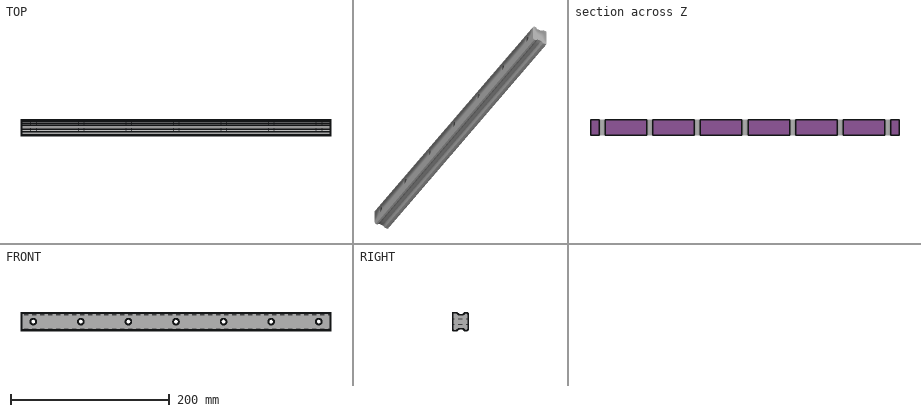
import cadquery as cq

rail_length = 390.0
rail_height = 20.0
rail_width = 23.0

hole_diameter = 7.0
hole_pitch = 60.0
hole_count = 7

groove_depth = 2.5
groove_base_rim_y = -5.0
groove_floor_start_y = -2.0
groove_floor_end_y = 3.0
groove_outer_rim_y = 5.5

raceway_start_y = 4.2
raceway_start_depth = 1.6
raceway_middle_y = 5.0
raceway_middle_depth = 1.0

base_chamfer = 1.0
outer_chamfer = 2.0


def make_half_rail():
    """Extrude the +Z half of the section along X, with its grooved flank."""
    half_height = rail_height / 2
    flank = rail_width / 2
    groove_floor = flank - groove_depth
    section = (
        cq.Workplane("YZ", origin=(-rail_length / 2, 0, 0))
        .moveTo(-half_height, 0)
        .lineTo(-half_height, flank - base_chamfer)
        .lineTo(-half_height + base_chamfer, flank)
        .lineTo(groove_base_rim_y, flank)
        .lineTo(groove_floor_start_y, groove_floor)
        .lineTo(groove_floor_end_y, groove_floor)
        .lineTo(raceway_start_y, flank - raceway_start_depth)
        .threePointArc(
            (raceway_middle_y, flank - raceway_middle_depth),
            (groove_outer_rim_y, flank),
        )
        .lineTo(half_height - outer_chamfer, flank)
        .lineTo(half_height, flank - outer_chamfer)
        .lineTo(half_height, 0)
        .close()
    )
    return section.extrude(rail_length)


def make_rail():
    """Join the half rail with its mirror image below the XY plane."""
    half_rail = make_half_rail()
    return half_rail.union(half_rail.mirror("XY")).clean()


def make_holes():
    """Build the row of through-hole cylinders, parallel to Y and centred along X."""
    row = cq.Workplane("XZ").rarray(hole_pitch, 1, hole_count, 1)
    return row.circle(hole_diameter / 2).extrude(rail_height, both=True)


result = make_rail().cut(make_holes())